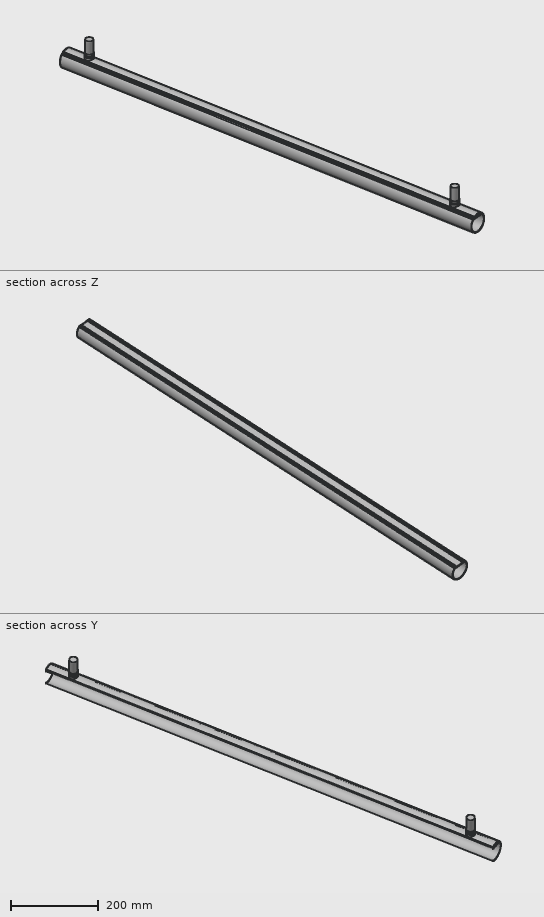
import cadquery as cq
import math

length = 1184.0
outer_radius = 25.0
wall = 2.5
inner_radius = outer_radius - wall

carrier_half_width = 12.5
carrier_half_angle = math.asin(carrier_half_width / outer_radius)
floor_top = 18.0
floor_thickness = 2.5
web_thickness = 1.5
web_outer_y = inner_radius * math.sin(carrier_half_angle)

overall_height = 99.35
post_spacing = 1052.0
post_root = 21.0
shaft_top = overall_height - outer_radius
shaft_radius = 10.0
taper_length = 4.0
taper_top_radius = 9.6
collar_radius = 11.0
collar_top = 39.0

groove_bottom = 29.5
groove_top = 33.0
groove_radius = shaft_radius


def along_tube(profile):
    """Extrude a YZ profile over the full length, centred on X = 0."""
    return profile.extrude(length / 2, both=True)


def bore():
    return along_tube(cq.Workplane("YZ").circle(inner_radius))


def tube_ring():
    return along_tube(cq.Workplane("YZ").circle(outer_radius)).cut(bore())


def carrier_sector():
    """Wedge around the top of the tube that separates the carrier from the diffuser."""
    reach = 2 * outer_radius
    half_width = reach * math.tan(carrier_half_angle)
    corners = [(0, 0), (half_width, reach), (-half_width, reach)]
    return along_tube(cq.Workplane("YZ").polyline(corners).close())


def carrier_floor():
    """Flat floor reaching across the bore from wall to wall."""
    floor_middle = floor_top - floor_thickness / 2
    slab = along_tube(cq.Workplane("YZ").center(0, floor_middle).rect(2 * inner_radius, floor_thickness))
    return slab.intersect(bore())


def carrier_web(side):
    """Upright web joining the floor to the arc; side is -1 or 1."""
    web_y = side * (web_outer_y - web_thickness / 2)
    web_height = outer_radius - floor_top
    web_middle = floor_top + web_height / 2
    web = along_tube(cq.Workplane("YZ").center(web_y, web_middle).rect(web_thickness, web_height))
    return web.intersect(bore())


def mounting_post(x):
    """Grooved collar and slightly tapered shaft, turned about a vertical axis."""
    profile = [
        (0, post_root),
        (collar_radius, post_root),
        (collar_radius, groove_bottom),
        (groove_radius, groove_bottom),
        (groove_radius, groove_top),
        (collar_radius, groove_top),
        (collar_radius, collar_top),
        (shaft_radius, collar_top),
        (shaft_radius, shaft_top - taper_length),
        (taper_top_radius, shaft_top),
        (0, shaft_top),
    ]
    post = cq.Workplane("XZ").polyline(profile).close().revolve(360, (0, 0), (0, 1))
    return post.translate((x, 0, 0)).cut(bore())


diffuser = tube_ring().cut(carrier_sector())

carrier = tube_ring().intersect(carrier_sector()).union(carrier_floor())
for side in (-1, 1):
    carrier = carrier.union(carrier_web(side))
for x in (-post_spacing / 2, post_spacing / 2):
    carrier = carrier.union(mounting_post(x))

result = cq.Compound.makeCompound([diffuser.val(), carrier.val()])